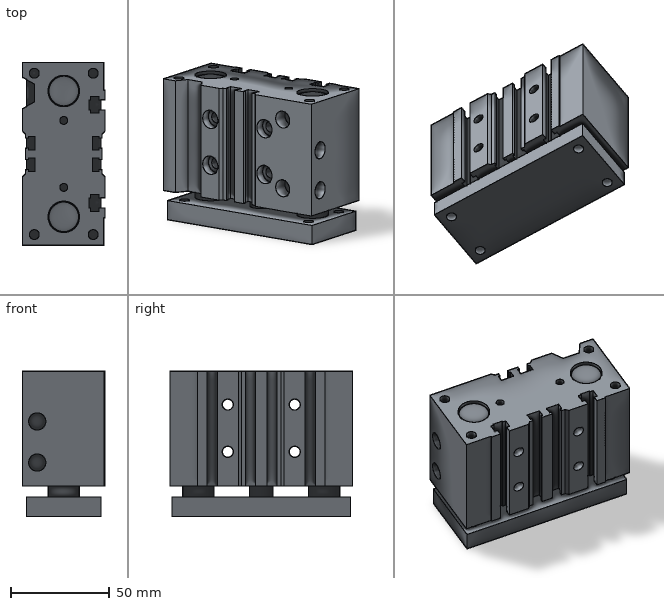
import cadquery as cq
import math


HOUSING_WIDTH = 42.0
HOUSING_LENGTH = 93.0
HOUSING_HEIGHT = 58.5
SIDE_X = HOUSING_WIDTH / 2
END_Y = HOUSING_LENGTH / 2
PAD_HEIGHT = 0.65
PAD_END_Y = 32.5

CHANNEL_DEPTH = 1.5
CHANNEL_MOUTH_HALF = 11.5
CHANNEL_FLOOR_X = SIDE_X - CHANNEL_DEPTH
CHANNEL_FLOOR_HALF = CHANNEL_MOUTH_HALF - CHANNEL_DEPTH

LIP_X = 17.95
SLOT_NECK_WIDTH = 5.1
SENSOR_SLOT_Y = 5.5
SENSOR_POCKET_WIDTH = 6.9
SENSOR_FLOOR_X = 14.5

T_SLOT_Y = 24.9
T_POCKET_WIDTH = 8.5
T_FLOOR_X = 13.5
T_RELIEF_FLOOR_X = 12.8

GROOVE_Y = 31.0
GROOVE_MOUTH_WIDTH = 16.0
GROOVE_DEPTH = 6.0
GROOVE_FLANK_ANGLE = 30

CORNER_HOLE_DIAMETER = 5.0
CORNER_HOLE_X = 15.0
CORNER_HOLE_Y = 41.0
CORNER_HOLE_DEPTH = 10.0
CENTRE_HOLE_DIAMETER = 4.0
CENTRE_HOLE_DEPTH = 10.0

MOUNT_HOLE_Y = 17.0
MOUNT_HOLE_HEIGHTS = (17.5, 41.5)
MOUNT_HOLE_DIAMETER = 5.5
MOUNT_BORE_DIAMETER = 9.5
MOUNT_BORE_DEPTH = 5.0

PORT_DIAMETER = 8.7
PORT_DEPTH = 8.0
SIDE_PORT_Y = -28.5
SIDE_PORT_HEIGHTS = (11.9, 47.9)
END_PORT_X = -13.5
END_PORT_HEIGHTS = (12.0, 32.9)

PLATE_WIDTH = 38.0
PLATE_LENGTH = 91.0
PLATE_THICKNESS = 10.0
PLATE_GAP = 5.5
PLATE_HOLE_DIAMETER = 5.0
PLATE_HOLE_X = 13.0
PLATE_HOLE_Y = 39.0
GUIDE_ROD_DIAMETER = 16.0
GUIDE_ROD_Y = 32.0
GUIDE_ROD_RECESS = 1.5
GUIDE_ROD_CHAMFER = 0.5
PISTON_ROD_DIAMETER = 12.0


def block(x_from, x_to, y_centre, y_width):
    """Full-height block of the housing between two X positions."""
    return (
        cq.Workplane("XY")
        .center((x_from + x_to) / 2, y_centre)
        .rect(abs(x_to - x_from), y_width)
        .extrude(HOUSING_HEIGHT)
    )


def hole_from_minus_x(y, z, diameter, depth):
    return (
        cq.Workplane("YZ", origin=(-SIDE_X, y, z))
        .circle(diameter / 2)
        .extrude(depth)
    )


def hole_from_minus_y(x, z, diameter, depth):
    return (
        cq.Workplane("XZ", origin=(x, -END_Y, z))
        .circle(diameter / 2)
        .extrude(-depth)
    )


def holes_from_top(points, diameter, depth):
    return (
        cq.Workplane("XY", origin=(0, 0, HOUSING_HEIGHT - depth))
        .pushPoints(points)
        .circle(diameter / 2)
        .extrude(depth)
    )


def four_corners(x, y):
    return [(sx * x, sy * y) for sx in (-1, 1) for sy in (-1, 1)]


def side_channel(side):
    """Channel with 45 degree flanks in the side at X sign `side`."""
    return (
        cq.Workplane("XY")
        .polyline([
            (side * SIDE_X, CHANNEL_MOUTH_HALF),
            (side * CHANNEL_FLOOR_X, CHANNEL_FLOOR_HALF),
            (side * CHANNEL_FLOOR_X, -CHANNEL_FLOOR_HALF),
            (side * SIDE_X, -CHANNEL_MOUTH_HALF),
        ])
        .close()
        .extrude(HOUSING_HEIGHT)
    )


def sensor_slot(side, y):
    neck = block(side * SIDE_X, side * LIP_X, y, SLOT_NECK_WIDTH)
    pocket = block(side * LIP_X, side * SENSOR_FLOOR_X, y, SENSOR_POCKET_WIDTH)
    return neck.union(pocket)


def t_slot(y):
    neck_and_relief = block(SIDE_X, T_RELIEF_FLOOR_X, y, SLOT_NECK_WIDTH)
    pocket = block(LIP_X, T_FLOOR_X, y, T_POCKET_WIDTH)
    return neck_and_relief.union(pocket)


def v_groove():
    mouth_half = GROOVE_MOUTH_WIDTH / 2
    floor_half = mouth_half - GROOVE_DEPTH * math.tan(math.radians(GROOVE_FLANK_ANGLE))
    floor_x = -SIDE_X + GROOVE_DEPTH
    return (
        cq.Workplane("XY")
        .polyline([
            (-SIDE_X, GROOVE_Y + mouth_half),
            (floor_x, GROOVE_Y + floor_half),
            (floor_x, GROOVE_Y - floor_half),
            (-SIDE_X, GROOVE_Y - mouth_half),
        ])
        .close()
        .extrude(HOUSING_HEIGHT)
    )


def make_housing():
    body = block(-SIDE_X, SIDE_X, 0, HOUSING_LENGTH)

    land_length = END_Y - PAD_END_Y
    for sign in (-1, 1):
        body = body.cut(block(SIDE_X - PAD_HEIGHT, SIDE_X, sign * (END_Y - land_length / 2), land_length))

    for side in (-1, 1):
        body = body.cut(side_channel(side))
        for y in (-SENSOR_SLOT_Y, SENSOR_SLOT_Y):
            body = body.cut(sensor_slot(side, y))
    for y in (-T_SLOT_Y, T_SLOT_Y):
        body = body.cut(t_slot(y))
    body = body.cut(v_groove())

    body = body.cut(
        holes_from_top(four_corners(CORNER_HOLE_X, CORNER_HOLE_Y), CORNER_HOLE_DIAMETER, CORNER_HOLE_DEPTH)
    )
    centre_points = [(0, -MOUNT_HOLE_Y), (0, MOUNT_HOLE_Y)]
    body = body.cut(holes_from_top(centre_points, CENTRE_HOLE_DIAMETER, CENTRE_HOLE_DEPTH))

    guide_points = [(0, -GUIDE_ROD_Y), (0, GUIDE_ROD_Y)]
    body = body.cut(holes_from_top(guide_points, GUIDE_ROD_DIAMETER, HOUSING_HEIGHT))

    for y in (-MOUNT_HOLE_Y, MOUNT_HOLE_Y):
        for z in MOUNT_HOLE_HEIGHTS:
            body = body.cut(hole_from_minus_x(y, z, MOUNT_HOLE_DIAMETER, HOUSING_WIDTH))
            body = body.cut(hole_from_minus_x(y, z, MOUNT_BORE_DIAMETER, MOUNT_BORE_DEPTH))

    for z in SIDE_PORT_HEIGHTS:
        body = body.cut(hole_from_minus_x(SIDE_PORT_Y, z, PORT_DIAMETER, PORT_DEPTH))
    for z in END_PORT_HEIGHTS:
        body = body.cut(hole_from_minus_y(END_PORT_X, z, PORT_DIAMETER, PORT_DEPTH))
    return body


def guide_rod(y):
    """Rod from the plate up through the housing, with a chamfered upper end."""
    rod_length = PLATE_GAP + HOUSING_HEIGHT - GUIDE_ROD_RECESS
    return (
        cq.Workplane("XY", origin=(0, y, -PLATE_GAP))
        .circle(GUIDE_ROD_DIAMETER / 2)
        .extrude(rod_length)
        .faces(">Z")
        .chamfer(GUIDE_ROD_CHAMFER)
    )


def make_plate_and_rods():
    plate = (
        cq.Workplane("XY", origin=(0, 0, -PLATE_GAP - PLATE_THICKNESS))
        .rect(PLATE_WIDTH, PLATE_LENGTH)
        .extrude(PLATE_THICKNESS)
        .faces(">Z")
        .workplane()
        .pushPoints(four_corners(PLATE_HOLE_X, PLATE_HOLE_Y))
        .hole(PLATE_HOLE_DIAMETER)
    )
    for y in (-GUIDE_ROD_Y, GUIDE_ROD_Y):
        plate = plate.union(guide_rod(y))

    piston_rod = (
        cq.Workplane("XY", origin=(0, 0, -PLATE_GAP))
        .circle(PISTON_ROD_DIAMETER / 2)
        .extrude(PLATE_GAP)
    )
    return plate.union(piston_rod)


housing = make_housing()
plate_and_rods = make_plate_and_rods()

result = cq.Compound.makeCompound([housing.val(), plate_and_rods.val()])